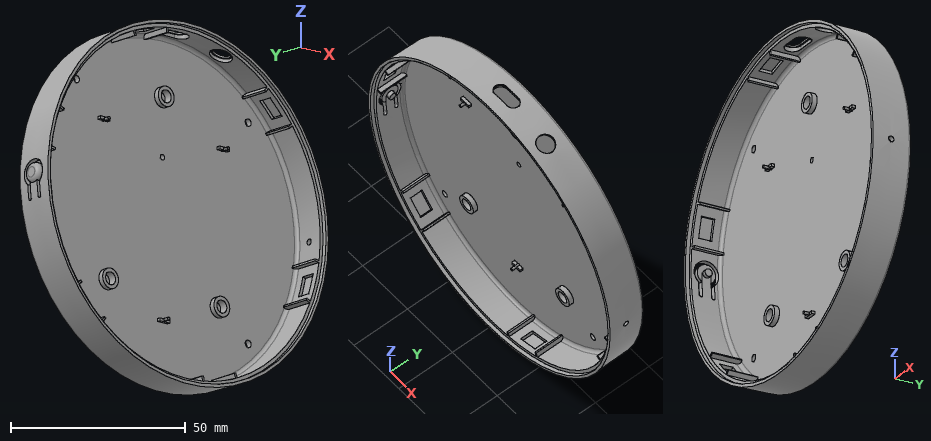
import cadquery as cq
import math

depth = 13.0
open_y = -depth / 2
back_y = depth / 2
open_radius = 54.0
draft_shrink = 0.3
back_radius = open_radius - draft_shrink
back_edge_fillet = 0.9
floor_thickness = 2.0
floor_y = back_y - floor_thickness
wall_radius = 52.0
floor_fillet = 1.1
step_radius = 53.0
step_depth = 1.3
step_y = open_y + step_depth

clip_angles = [45, 105, 165, 225, 285, 345]
rib_half_angle = 7.3
rib_width = 0.7
rib_tip_radius = 50.4
pocket_width = 6.5
pocket_height = 4.3
pocket_depth = 1.0
pocket_y = -1.1

boss_places = [(0, 34.0), (-21.4, -24.6), (21.4, -24.6)]
boss_radius = 3.0
boss_bore_radius = 1.9
boss_height = 1.6
boss_bore_depth = 2.6

pin_places = [(-22.9, 23.0, -1), (22.9, 23.0, -1), (0, -32.8, 1)]
bar_width = 3.7
bar_thickness = 0.9
bar_height = 1.1
pin_radius = 0.4
pin_offset = 0.2
pin_height = 2.7

screw_offset = 33.0
screw_hole_radius = 1.1
reset_hole_z = 16.2
reset_hole_radius = 0.82

slot_length = 9.8
slot_width = 4.2
slot_angle = 90
slot_y = 0
jack_angle = 70
jack_radius = 2.9
jack_y = -0.8
pinhole_radius = 0.9
pinhole_angle = 0
pinhole_y = -0.4
relief_margin = 0.4
relief_bottom_radius = step_radius

button_face_x = -54.7
button_y = -0.1
button_radius = 3.0
button_fillet = 1.5
ring_radius = 4.0
stem_radius = 1.2
stem_end_x = -50.7
tongue_slit_width = 1.1
tongue_slit_offset = 2.1
tongue_slit_end_z = -7.8

overlap = 1.1


def floor_plane(x, z):
    """Plane on the floor with its normal pointing out of the open side."""
    return cq.Plane(origin=(x, floor_y, z), xDir=(1, 0, 0), normal=(0, -1, 0))


def radial_plane(angle, y):
    """Plane containing the axis whose normal points outwards at the angle."""
    a = math.radians(angle)
    return cq.Plane(
        origin=(0, y, 0),
        xDir=(-math.sin(a), 0, math.cos(a)),
        normal=(math.cos(a), 0, math.sin(a)),
    )


def make_shell():
    """Revolved tray with a rounded back edge, a stepped rim and a fillet around the floor."""
    edge_mid = back_edge_fillet * (1 - math.sqrt(0.5))
    fillet_mid = floor_fillet * (1 - math.sqrt(0.5))
    profile = (
        cq.Workplane("XY")
        .moveTo(0, back_y)
        .lineTo(back_radius - back_edge_fillet, back_y)
        .threePointArc(
            (back_radius - edge_mid, back_y - edge_mid),
            (back_radius, back_y - back_edge_fillet),
        )
        .lineTo(open_radius, open_y)
        .lineTo(step_radius, open_y)
        .lineTo(step_radius, step_y)
        .lineTo(wall_radius, step_y)
        .lineTo(wall_radius, floor_y - floor_fillet)
        .threePointArc(
            (wall_radius - fillet_mid, floor_y - fillet_mid),
            (wall_radius - floor_fillet, floor_y),
        )
        .lineTo(0, floor_y)
        .close()
    )
    return profile.revolve(360, (0, 0, 0), (0, 1, 0))


def make_rib(angle):
    length = floor_y - step_y
    return (
        cq.Workplane(radial_plane(angle, (floor_y + step_y) / 2))
        .workplane(offset=rib_tip_radius)
        .rect(rib_width, length)
        .extrude(wall_radius + overlap / 2 - rib_tip_radius)
    )


def make_clip_pocket(angle):
    return (
        cq.Workplane(radial_plane(angle, pocket_y))
        .workplane(offset=rib_tip_radius)
        .rect(pocket_width, pocket_height)
        .extrude(wall_radius + pocket_depth - rib_tip_radius)
    )


def make_boss(x, z):
    return cq.Workplane(floor_plane(x, z)).circle(boss_radius).extrude(boss_height)


def make_boss_bore(x, z):
    """Blind bore that runs through the boss and part of the way into the floor."""
    top = cq.Workplane(floor_plane(x, z)).workplane(offset=boss_height)
    return top.circle(boss_bore_radius).extrude(-boss_bore_depth)


def make_barred_pin(x, z, direction):
    plane = floor_plane(x, z)
    bar = cq.Workplane(plane).rect(bar_width, bar_thickness).extrude(bar_height)
    pin = cq.Workplane(plane).center(0, direction * pin_offset).circle(pin_radius).extrude(pin_height)
    return bar.union(pin)


result = make_shell()
for angle in clip_angles:
    for side in (-1, 1):
        result = result.union(make_rib(angle + side * rib_half_angle))
    result = result.cut(make_clip_pocket(angle))
for x, z in boss_places:
    result = result.union(make_boss(x, z)).cut(make_boss_bore(x, z))
for x, z, direction in pin_places:
    result = result.union(make_barred_pin(x, z, direction))

screw_holes = (
    cq.Workplane(floor_plane(0, 0))
    .rect(2 * screw_offset, 2 * screw_offset, forConstruction=True)
    .vertices()
    .circle(screw_hole_radius)
    .extrude(-floor_thickness)
)
reset_hole = cq.Workplane(floor_plane(0, reset_hole_z)).circle(reset_hole_radius).extrude(-floor_thickness)
result = result.cut(screw_holes).cut(reset_hole)


def wall_plane(angle, y):
    """Sketch just inside the wall, facing radially outwards."""
    return cq.Workplane(radial_plane(angle, y)).workplane(offset=rib_tip_radius)


through_wall = open_radius + overlap - rib_tip_radius
relief_length = relief_bottom_radius - rib_tip_radius
slot_plane = wall_plane(slot_angle, slot_y)
jack_plane = wall_plane(jack_angle, jack_y)

slot = slot_plane.slot2D(slot_length, slot_width).extrude(through_wall)
slot_relief = slot_plane.slot2D(slot_length + 2 * relief_margin, slot_width + 2 * relief_margin)
jack = jack_plane.circle(jack_radius).extrude(through_wall)
jack_relief = jack_plane.circle(jack_radius + relief_margin)
pinhole = wall_plane(pinhole_angle, pinhole_y).circle(pinhole_radius).extrude(through_wall)
for opening in (slot, jack, pinhole):
    result = result.cut(opening)
for relief in (slot_relief, jack_relief):
    result = result.cut(relief.extrude(relief_length))


def side_plane(x):
    """Sketch square to X, centred on the button, with its normal along +X."""
    return cq.Workplane("YZ", origin=(x, button_y, 0))


def make_button_slot():
    """Keyhole shaped cut: a ring around the button and two round-ended slits below it."""
    outside = side_plane(-open_radius - overlap)
    length = open_radius - wall_radius + 2 * overlap
    slit_tip_z = tongue_slit_end_z + tongue_slit_width / 2
    slit_ends = [(side * tongue_slit_offset, slit_tip_z) for side in (-1, 1)]
    slit_middles = [(y, slit_tip_z / 2) for y, _ in slit_ends]
    ring = outside.circle(ring_radius).extrude(length)
    slits = outside.pushPoints(slit_middles).rect(tongue_slit_width, -slit_tip_z).extrude(length)
    tips = outside.pushPoints(slit_ends).circle(tongue_slit_width / 2).extrude(length)
    tongue_width = 2 * tongue_slit_offset - tongue_slit_width
    tongue = outside.center(0, slit_tip_z / 2).rect(tongue_width, -slit_tip_z).extrude(length)
    return ring.union(slits).union(tips).cut(tongue)


def make_button():
    face = side_plane(button_face_x)
    body = face.circle(button_radius).extrude(-wall_radius - button_face_x)
    body = body.faces("<X").edges().fillet(button_fillet)
    stem = side_plane(-wall_radius - overlap).circle(stem_radius).extrude(stem_end_x + wall_radius + overlap)
    return body.union(stem)


result = result.cut(make_button_slot()).union(make_button())